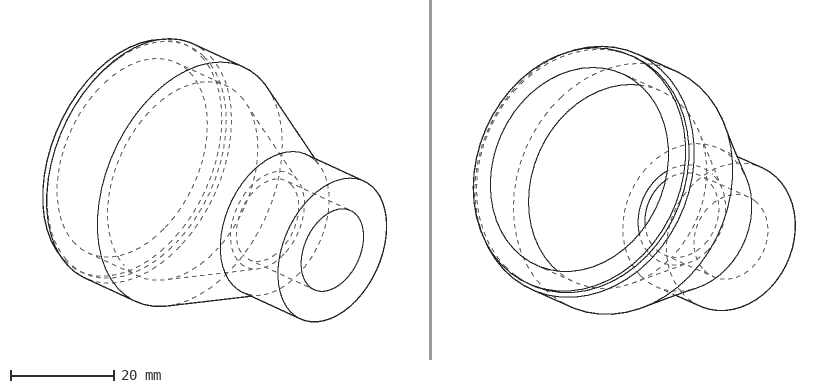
import cadquery as cq

total_length = 55.5
lip_length = 1.2
lip_step_end = 1.9
large_end_length = 16.0
small_end_length = 16.0

lip_diameter = 48.45
large_diameter = 50.0
small_diameter = 29.4

large_bore_diameter = 40.6
bore_taper_advance = 2.0
taper_end_diameter = 20.0
small_bore_diameter = 16.85

taper_start = large_end_length
taper_end = total_length - small_end_length
bore_taper_start = taper_start - bore_taper_advance
bore_taper_end = taper_end - bore_taper_advance


def revolve_about_x(profile):
    """Revolve (position along X, diameter) points, closed along the axis, into a solid."""
    outline = [(profile[0][0], 0)]
    outline += [(x, diameter / 2) for x, diameter in profile]
    outline += [(profile[-1][0], 0)]
    return cq.Workplane("XY").polyline(outline).close().revolve(360, (0, 0, 0), (1, 0, 0))


body = revolve_about_x([
    (0, lip_diameter),
    (lip_length, lip_diameter),
    (lip_step_end, large_diameter),
    (taper_start, large_diameter),
    (taper_end, small_diameter),
    (total_length, small_diameter),
])

bore = revolve_about_x([
    (0, large_bore_diameter),
    (bore_taper_start, large_bore_diameter),
    (bore_taper_end, taper_end_diameter),
    (bore_taper_end, small_bore_diameter),
    (total_length, small_bore_diameter),
])

result = body.cut(bore)